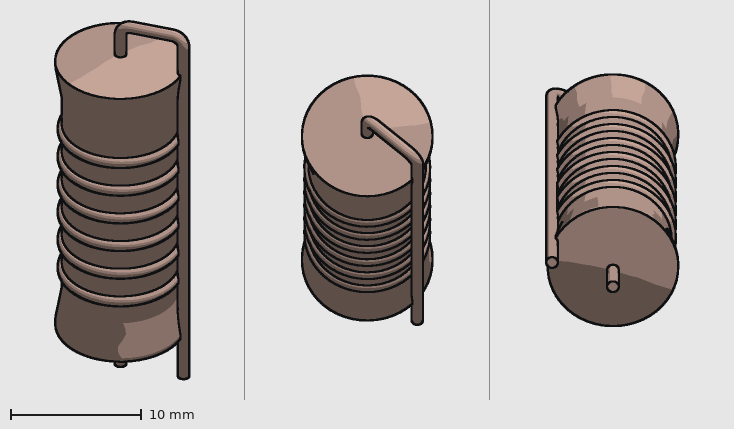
import cadquery as cq
import math

wire_diameter = 0.9
wire_radius = wire_diameter / 2
lead_pitch = 5.08
bend_radius = 0.9
lead_length = 3.1
total_height = 32.25

body_length = 26.0
body_radius = 4.5
rim_radius = 5.0
tip_height = 0.65
rim_thickness = 0.3
flare_end = 3.9

ring_count = 6
ring_pitch = 2.6
first_ring_height = 5.97
ring_center_radius = 4.32
ring_section_radius = 0.5

body_top = body_length
wire_bottom = -lead_length
wire_top_center = wire_bottom + total_height - wire_radius


def make_body():
    """Revolved spool: flared ends with thin rims, closed by shallow cones."""
    rim_end = tip_height + rim_thickness
    lower_profile = [
        (wire_radius, 0),
        (rim_radius, tip_height),
        (rim_radius, rim_end),
        (body_radius, flare_end),
    ]
    upper_profile = [(radius, body_top - level) for radius, level in reversed(lower_profile)]
    outline = [(0, 0)] + lower_profile + upper_profile + [(0, body_top)]
    return cq.Workplane("XZ").polyline(outline).close().revolve(360, (0, 0), (0, 1))


def make_ring(level):
    """Raised ring whose section is the part of a circle that stands out of the body."""
    sunk_depth = body_radius - ring_center_radius
    half_height = math.sqrt(ring_section_radius**2 - sunk_depth**2)
    section = (
        cq.Workplane("XZ")
        .moveTo(0, level - half_height)
        .lineTo(body_radius, level - half_height)
        .threePointArc(
            (ring_center_radius + ring_section_radius, level),
            (body_radius, level + half_height),
        )
        .lineTo(0, level + half_height)
        .close()
    )
    return section.revolve(360, (0, 0), (0, 1))


def make_wire():
    """Round wire with two quarter-circle bends above the body."""
    bend_start = wire_top_center - bend_radius
    path = (
        cq.Workplane("XZ")
        .moveTo(0, wire_bottom)
        .lineTo(0, bend_start)
        .tangentArcPoint((bend_radius, wire_top_center), relative=False)
        .lineTo(lead_pitch - bend_radius, wire_top_center)
        .tangentArcPoint((lead_pitch, bend_start), relative=False)
        .lineTo(lead_pitch, wire_bottom)
    )
    return cq.Workplane("XY", origin=(0, 0, wire_bottom)).circle(wire_radius).sweep(path)


result = make_body()
for index in range(ring_count):
    result = result.union(make_ring(first_ring_height + index * ring_pitch))
result = result.union(make_wire())